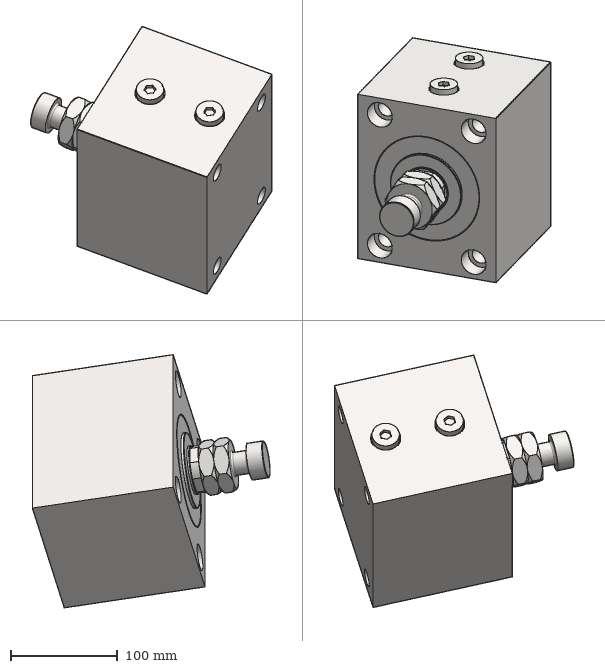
import cadquery as cq
import math

overall_length = 209.0
edge_chamfer = 0.6

block_length = 135.0
block_width = 140.0
block_height = 170.0
top_edge_chamfer = 0.5

mount_spacing_y = 95.0
mount_spacing_z = 135.2
mount_hole_diameter = 16.7
counterbore_diameter = 25.0
counterbore_depth = 17.0

gland_diameter = 105.8
gland_depth = 41.8
collar_diameter = 72.0
collar_height = 3.0

rod_diameter = 46.2
rod_shoulder_reach = 5.2
rod_end_diameter = 44.0
rod_end_reach = 13.5
rod_across_flats = 40.1

hex_count = 2
hex_across_flats = 46.0
hex_thickness = 14.5
hex_chamfer_length = 3.8
neck_diameter = 22.0
neck_length = 15.9
neck_fillet = 1.9
head_diameter = 35.1

plug_positions_x = (42.0, 104.0)
plug_diameter = 25.7
plug_height = 5.0
seat_diameter = 28.0
seat_depth = 2.0
socket_across_flats = 9.6
socket_depth = 3.8

block_top = block_height / 2
seat_floor = block_top - seat_depth
neck_back = -rod_end_reach - hex_count * hex_thickness
head_back = neck_back - neck_length
head_front = block_length - overall_length
corners_per_flats = 2 / math.sqrt(3)


def axial_cylinder(diameter, x_start, x_end):
    """Cylinder on the rod axis between two X positions."""
    return cq.Workplane("YZ", origin=(x_start, 0, 0)).circle(diameter / 2).extrude(x_end - x_start)


def mount_cylinders(diameter, depth):
    """Four cylinders at the mounting hole centres, going in from the front face."""
    centres = cq.Workplane("YZ").rect(mount_spacing_y, mount_spacing_z, forConstruction=True).vertices()
    return centres.circle(diameter / 2).extrude(depth)


def gland_bore():
    """Space for the gland, with a chamfered mouth."""
    mouth = (
        cq.Workplane("YZ")
        .circle(gland_diameter / 2 + edge_chamfer)
        .workplane(offset=edge_chamfer)
        .circle(gland_diameter / 2)
        .loft(ruled=True)
    )
    return axial_cylinder(gland_diameter, 0, gland_depth).union(mouth)


def plug_seat(x):
    return cq.Workplane("XY", origin=(x, 0, seat_floor)).circle(seat_diameter / 2).extrude(seat_depth)


def build_housing():
    block = cq.Workplane("XY").box(
        block_length, block_width, block_height, centered=(False, True, True)
    )
    block = block.edges("<Y and >Z").chamfer(top_edge_chamfer)
    block = block.cut(mount_cylinders(mount_hole_diameter, block_length))
    block = block.cut(mount_cylinders(counterbore_diameter, counterbore_depth))
    block = block.cut(gland_bore())
    for x in plug_positions_x:
        block = block.cut(plug_seat(x))
    return block


def build_gland():
    plate = axial_cylinder(gland_diameter, 0, gland_depth)
    collar = axial_cylinder(collar_diameter, -collar_height, 0).faces("<X").chamfer(edge_chamfer)
    rod_hole = axial_cylinder(rod_diameter, -collar_height, gland_depth)
    return plate.union(collar).cut(rod_hole)


def build_rod():
    shaft = axial_cylinder(rod_diameter, -rod_shoulder_reach, gland_depth)
    shaft = shaft.faces("<X").chamfer(edge_chamfer)
    end = axial_cylinder(rod_end_diameter, -rod_end_reach, -rod_shoulder_reach)
    flats = (
        cq.Workplane("YZ", origin=(-rod_end_reach, 0, 0))
        .rect(rod_across_flats, rod_across_flats)
        .extrude(rod_end_reach - rod_shoulder_reach)
    )
    return shaft.union(end.intersect(flats))


def pin_hexagon(x_back):
    """Hexagon reaching forward from x_back, its corners bevelled at both ends."""
    across_corners = hex_across_flats * corners_per_flats
    x_front = x_back - hex_thickness
    corner_height = (across_corners - hex_across_flats) / 2
    prism = cq.Workplane("YZ", origin=(x_front, 0, 0)).polygon(6, across_corners).extrude(hex_thickness)
    bevels = axial_cylinder(across_corners, x_front, x_back)
    bevels = bevels.faces("<X or >X").chamfer(hex_chamfer_length, corner_height)
    return prism.intersect(bevels)


def neck_profile():
    """Half section of the neck, with a fillet flaring out at each end."""
    radius = neck_diameter / 2
    flare_radius = radius + neck_fillet
    arc_inset = neck_fillet * (1 - math.sqrt(0.5))
    arc_radius = radius + arc_inset
    return (
        cq.Workplane("XY")
        .moveTo(head_back, 0)
        .lineTo(head_back, flare_radius)
        .threePointArc((head_back + arc_inset, arc_radius), (head_back + neck_fillet, radius))
        .lineTo(neck_back - neck_fillet, radius)
        .threePointArc((neck_back - arc_inset, arc_radius), (neck_back, flare_radius))
        .lineTo(neck_back, 0)
        .close()
    )


def build_pin():
    head = axial_cylinder(head_diameter, head_front, head_back).faces("<X").chamfer(edge_chamfer)
    neck = neck_profile().revolve(360, (0, 0, 0), (1, 0, 0))
    pin = head.union(neck)
    for index in range(hex_count):
        pin = pin.union(pin_hexagon(-rod_end_reach - index * hex_thickness))
    return pin


def build_plug(x):
    body = (
        cq.Workplane("XY", origin=(x, 0, seat_floor))
        .circle(plug_diameter / 2)
        .extrude(seat_depth + plug_height)
    )
    socket = (
        cq.Workplane("XY", origin=(x, 0, block_top + plug_height))
        .transformed(rotate=(0, 0, 90))
        .polygon(6, socket_across_flats * corners_per_flats)
        .extrude(-socket_depth)
    )
    return body.cut(socket)


housing = build_housing()
gland = build_gland()
rod = build_rod()
coupling_pin = build_pin()
plugs = [build_plug(x) for x in plug_positions_x]

result = cq.Compound.makeCompound(
    [housing.val(), gland.val(), rod.val(), coupling_pin.val(), *[plug.val() for plug in plugs]]
)